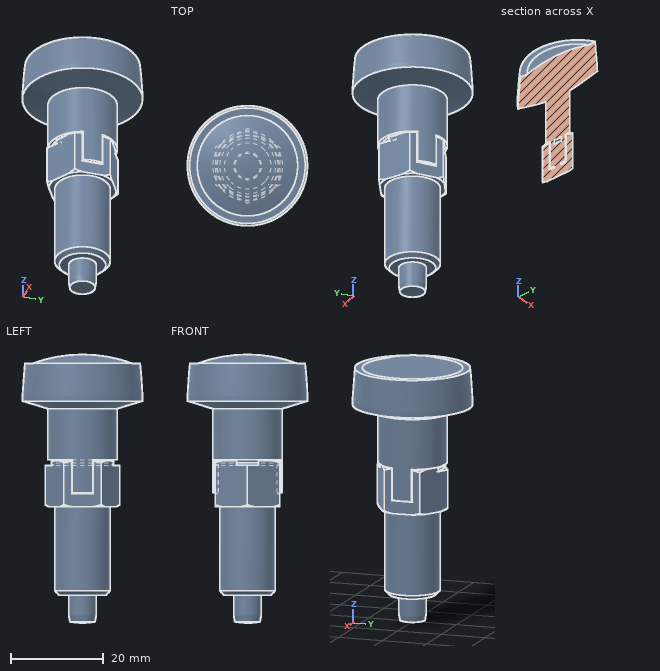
import cadquery as cq
import math


pin_radius = 6.0 / 2
pin_tip_radius = 5.5 / 2
pin_dome_height = 0.3
pin_taper_top = 1.6

barrel_radius = 12.0 / 2
barrel_bottom = 6.0
barrel_chamfer = 1.0

hex_across_flats = 14.0
hex_across_corners = hex_across_flats / math.cos(math.pi / 6)
hex_bottom = 25.1
hex_chamfer_angle = math.radians(30)
hex_face_radius = hex_across_flats / 2 + 0.35

sleeve_radius = 15.0 / 2
sleeve_bottom = 35.2
clearance = 0.2
lug_bottom = 28.15
lug_width = 4.35
hex_top = sleeve_bottom - clearance
notch_width = lug_width + 2 * clearance
notch_bottom = 34.05
core_radius = 6.7
groove_depth = 0.2

knob_bottom = 46.3
knob_bottom_radius = 7.65
knob_rim_bottom = 47.9
knob_rim_top = 49.05
knob_radius = 26.0 / 2
knob_top = 56.0
knob_top_radius = 12.45
knob_side_bulge = 0.05
dome_radius = 10.85
total_height = 58.0


def cap_midpoint(base_radius, height):
    """Radius and rise of the middle of a spherical cap's profile arc."""
    sphere_radius = (base_radius**2 + height**2) / (2 * height)
    half_angle = math.asin(base_radius / sphere_radius) / 2
    rise = sphere_radius * math.cos(half_angle) - (sphere_radius - height)
    return sphere_radius * math.sin(half_angle), rise


def make_turned_body():
    """Pin, barrel, core, sleeve and knob as one turned profile."""
    tip_mid_radius, tip_mid_rise = cap_midpoint(pin_tip_radius, pin_dome_height)
    top_mid_radius, top_mid_rise = cap_midpoint(dome_radius, total_height - knob_top)
    side_mid_radius = (knob_radius + knob_top_radius) / 2 + knob_side_bulge
    side_mid_height = (knob_rim_top + knob_top) / 2
    return (
        cq.Workplane("XZ")
        .moveTo(0, 0)
        .threePointArc((tip_mid_radius, pin_dome_height - tip_mid_rise), (pin_tip_radius, pin_dome_height))
        .lineTo(pin_radius, pin_taper_top)
        .lineTo(pin_radius, barrel_bottom)
        .lineTo(barrel_radius - barrel_chamfer, barrel_bottom)
        .lineTo(barrel_radius, barrel_bottom + barrel_chamfer)
        .lineTo(barrel_radius, hex_bottom)
        .lineTo(core_radius, hex_bottom)
        .lineTo(core_radius, notch_bottom)
        .lineTo(core_radius - groove_depth, (notch_bottom + sleeve_bottom) / 2)
        .lineTo(core_radius, sleeve_bottom)
        .lineTo(sleeve_radius, sleeve_bottom)
        .lineTo(sleeve_radius, knob_bottom)
        .lineTo(knob_bottom_radius, knob_bottom)
        .lineTo(knob_radius, knob_rim_bottom)
        .lineTo(knob_radius, knob_rim_top)
        .threePointArc((side_mid_radius, side_mid_height), (knob_top_radius, knob_top))
        .lineTo(dome_radius, knob_top)
        .threePointArc((top_mid_radius, knob_top + top_mid_rise), (0, total_height))
        .close()
        .revolve(360, (0, 0, 0), (0, 1, 0))
    )


def make_block(bottom, top, length_x, length_y):
    """Centred rectangular block between two heights."""
    return cq.Workplane("XY", origin=(0, 0, bottom)).rect(length_x, length_y).extrude(top - bottom)


def make_hexagon():
    """Bored hexagon with chamfered corners, short notches on Y and lug slots on X."""
    prism = (
        cq.Workplane("XY", origin=(0, 0, hex_bottom))
        .transformed(rotate=(0, 0, 90))
        .polygon(6, hex_across_corners)
        .extrude(hex_top - hex_bottom)
    )
    corner_radius = hex_across_corners / 2
    chamfer_height = (corner_radius - hex_face_radius) * math.tan(hex_chamfer_angle)
    envelope = (
        cq.Workplane("XZ")
        .moveTo(0, hex_bottom)
        .lineTo(hex_face_radius, hex_bottom)
        .lineTo(corner_radius, hex_bottom + chamfer_height)
        .lineTo(corner_radius, hex_top - chamfer_height)
        .lineTo(hex_face_radius, hex_top)
        .lineTo(0, hex_top)
        .close()
        .revolve(360, (0, 0, 0), (0, 1, 0))
    )
    notches = make_block(notch_bottom, hex_top, notch_width, 2 * hex_across_corners)
    lug_slots = make_block(lug_bottom - clearance, hex_top, 2 * hex_across_corners, notch_width)
    bore = cq.Workplane("XY", origin=(0, 0, hex_bottom)).circle(core_radius).extrude(hex_top - hex_bottom)
    return prism.intersect(envelope).cut(notches).cut(lug_slots).cut(bore)


def make_lugs():
    """Two strips of the sleeve wall reaching down into the +X and -X slots."""
    strip = make_block(lug_bottom, sleeve_bottom, 2 * sleeve_radius, lug_width)
    disc = (
        cq.Workplane("XY", origin=(0, 0, lug_bottom))
        .circle(sleeve_radius)
        .extrude(sleeve_bottom - lug_bottom)
    )
    bore = cq.Workplane("XY", origin=(0, 0, lug_bottom)).circle(core_radius).extrude(sleeve_bottom - lug_bottom)
    return strip.intersect(disc).cut(bore)


result = make_turned_body().union(make_hexagon()).union(make_lugs())